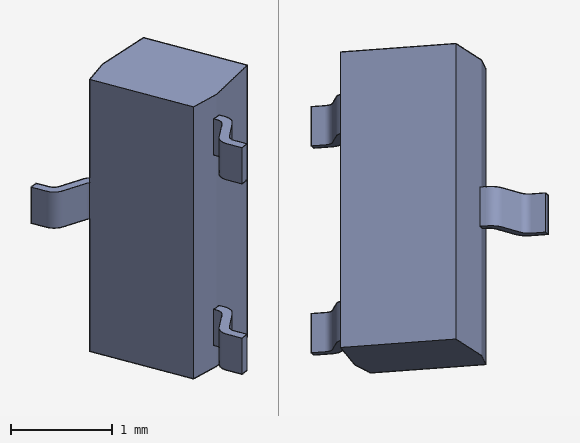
import cadquery as cq
import math

body_length = 3.0
body_depth = 1.05
body_waist_width = 1.3
body_face_width = 1.182

lead_span = 2.4
lead_thickness = 0.1
lead_width = 0.4
lead_spacing = 2.1
waist_y = 0.45
standoff = 0.1
foot_to_bend = 0.27
bend_run = 0.185
inner_bend_radius = 0.1
outer_bend_radius = 0.15
lead_embed = 0.15


def make_body():
    """Prism with flat front and back faces and sides that draft outward to the waist."""
    half_face = body_face_width / 2
    half_waist = body_waist_width / 2
    back_y = standoff + body_depth
    outline = [
        (-half_face, standoff),
        (half_face, standoff),
        (half_waist, waist_y),
        (half_face, back_y),
        (-half_face, back_y),
        (-half_waist, waist_y),
    ]
    return cq.Workplane("XY").polyline(outline).close().extrude(body_length / 2, both=True)


def make_left_lead():
    """Lead on the -X side, centred on Z = 0, with its foot resting on Y = 0."""
    tip_x = -lead_span / 2
    root_x = -body_waist_width / 2 + lead_embed
    shoulder_y = waist_y - lead_thickness / 2

    foot_corner_x = tip_x + foot_to_bend
    shoulder_corner_x = foot_corner_x + bend_run
    slope_angle = math.atan2(shoulder_y, bend_run)
    corner_shift = lead_thickness * math.tan(slope_angle / 2)

    front_foot = (foot_corner_x, 0)
    front_shoulder = (shoulder_corner_x, shoulder_y)
    back_shoulder = (shoulder_corner_x - corner_shift, shoulder_y + lead_thickness)
    back_foot = (foot_corner_x - corner_shift, lead_thickness)
    outline = [
        (tip_x, 0),
        front_foot,
        front_shoulder,
        (root_x, shoulder_y),
        (root_x, shoulder_y + lead_thickness),
        back_shoulder,
        back_foot,
        (tip_x, lead_thickness),
    ]
    lead = cq.Workplane("XY").polyline(outline).close().extrude(lead_width / 2, both=True)

    bends = [
        (front_foot, outer_bend_radius),
        (back_shoulder, outer_bend_radius),
        (back_foot, inner_bend_radius),
        (front_shoulder, inner_bend_radius),
    ]
    for corner, radius in bends:
        lead = lead.edges(cq.selectors.NearestToPointSelector((*corner, 0))).fillet(radius)
    return lead


left_lead = make_left_lead()
right_lead = left_lead.mirror("YZ")

result = make_body().union(left_lead)
for side in (-1, 1):
    result = result.union(right_lead.translate((0, 0, side * lead_spacing / 2)))